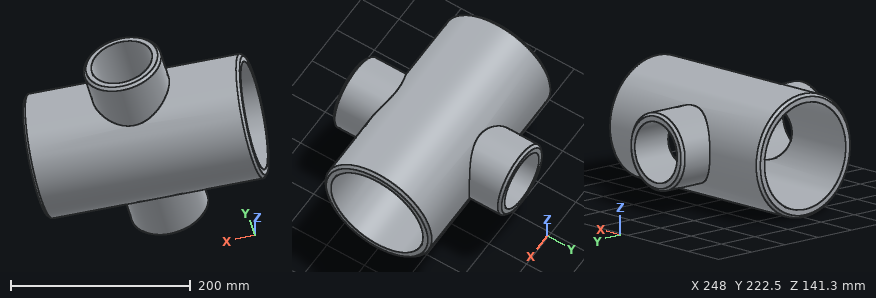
import cadquery as cq

run_length = 248.0
run_diameter = 141.3
run_bore = 122.2

branch_length = 222.5
branch_diameter = 88.7
branch_bore = 70.0

end_bevel = 3.2


def centred_cylinder(plane, diameter, length):
    """Cylinder centred on the origin, with its axis normal to the plane."""
    return cq.Workplane(plane).circle(diameter / 2).extrude(length / 2, both=True)


def bevelled_pipe_body(plane, diameter, length):
    """Solid pipe body with both end rims bevelled."""
    return centred_cylinder(plane, diameter, length).edges("%CIRCLE").chamfer(end_bevel)


run_body = bevelled_pipe_body("YZ", run_diameter, run_length)
branch_body = bevelled_pipe_body("XZ", branch_diameter, branch_length)
body = run_body.union(branch_body)

result = (
    body
    .cut(centred_cylinder("YZ", run_bore, run_length))
    .cut(centred_cylinder("XZ", branch_bore, branch_length))
)